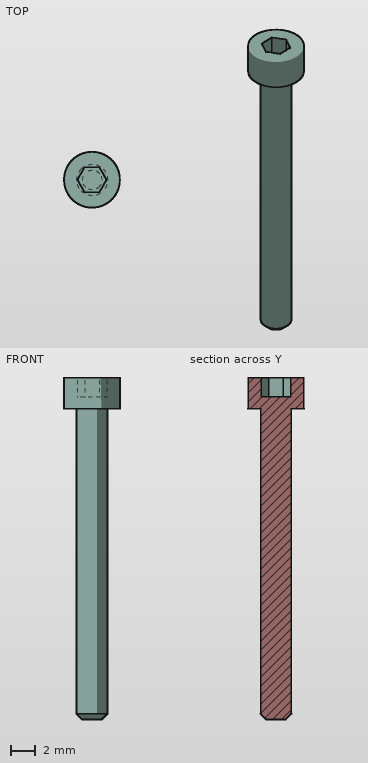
import cadquery as cq
import math

total_length = 27.5
head_diameter = 4.5
head_height = 2.5
shank_diameter = 2.5
plain_shank_length = 8.0
head_rim_radius = 0.03
tip_chamfer = 0.47
socket_across_flats = 2.04
socket_depth = 1.5

shank_length = total_length - head_height
socket_across_corners = socket_across_flats / math.cos(math.pi / 6)


def make_head():
    """Cylindrical head with a slightly rounded upper rim."""
    head = cq.Workplane("XY").circle(head_diameter / 2).extrude(head_height)
    return head.faces(">Z").edges().fillet(head_rim_radius)


def make_shank():
    """Plain length below the head, then the threaded length with a chamfered tip."""
    plain = cq.Workplane("XY").circle(shank_diameter / 2).extrude(-plain_shank_length)
    threaded = (
        cq.Workplane("XY", origin=(0, 0, -shank_length))
        .circle(shank_diameter / 2)
        .extrude(shank_length - plain_shank_length)
        .faces("<Z")
        .edges()
        .chamfer(tip_chamfer)
    )
    return plain.union(threaded)


def make_socket():
    """Hexagonal drive socket with two corners on the X axis."""
    return (
        cq.Workplane("XY", origin=(0, 0, head_height))
        .polygon(6, socket_across_corners)
        .extrude(-socket_depth)
    )


result = make_head().union(make_shank()).cut(make_socket())